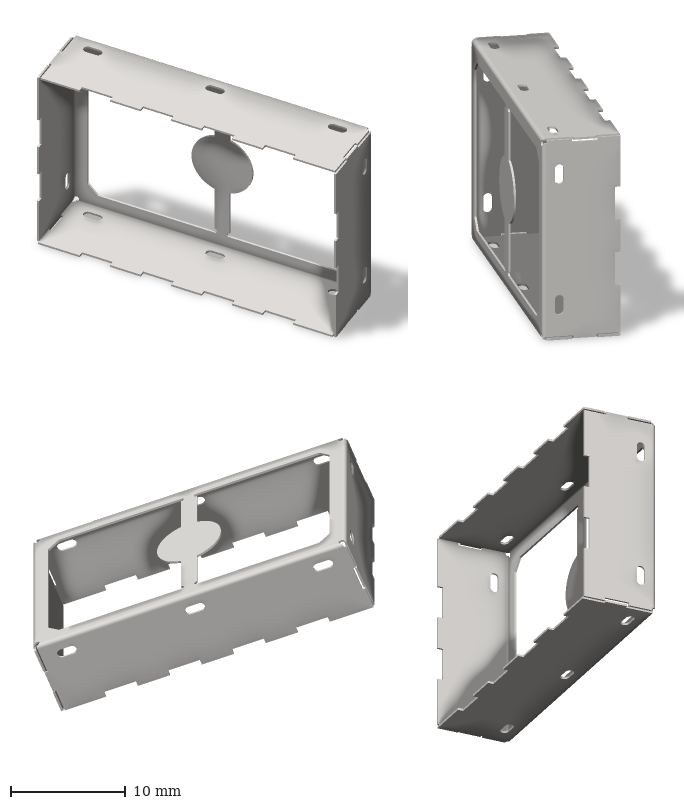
import cadquery as cq

width = 29.35
depth = 7.0
height = 18.5
sheet = 0.2
bend_radius = 0.35
fold_y = depth - bend_radius

rim_width = 1.5
window_chamfer = 1.0
bar_width = 1.5
disc_radius = 3.0
nick_height = 0.4
nick_depth = 0.25
corner_relief_radius = 0.25
corner_relief_inset = 0.4

notch_width = 3.0
notch_pitch = 2 * notch_width
notch_depth = 0.5

slot_length = 1.8
slot_width = 0.8
slot_pitch = 12.0
slot_y = depth - 1.5

wall_margin = bend_radius
tab_margin = 0.1
tab_start = fold_y - 0.03
tab_corner_radius = 0.2
tab_y = depth - 3.82
middle_tab_width = 2.05
recess_width = 2.32


def evenly_spaced(count, pitch):
    return [(i - (count - 1) / 2) * pitch for i in range(count)]


def box_between(low, high):
    size = [b - a for a, b in zip(low, high)]
    return cq.Workplane("XY").box(*size, centered=False).translate(low)


def fold_profile_solid(inset, radius, front_y):
    """Block with its back edges rounded, inset from the outer faces."""
    block = box_between(
        (inset - width / 2, front_y, inset - height / 2),
        (width / 2 - inset, depth - inset, height / 2 - inset),
    )
    return block.faces(">Y").edges().fillet(radius)


def make_back():
    """Back plate with its four folds, relieved at the corners."""
    shell = fold_profile_solid(0, bend_radius, 0).cut(
        fold_profile_solid(sheet, bend_radius - sheet, -sheet)
    )
    back = shell.intersect(
        box_between((-width, fold_y, -height), (width, depth, height))
    )
    for side_x in (-1, 1):
        for side_z in (-1, 1):
            square = (
                cq.Workplane("XZ")
                .center(side_x * width / 2, side_z * height / 2)
                .rect(2 * wall_margin, 2 * wall_margin)
                .extrude(-2 * depth)
            )
            relief = (
                cq.Workplane("XZ")
                .center(
                    side_x * (width / 2 - corner_relief_inset),
                    side_z * (height / 2 - corner_relief_inset),
                )
                .circle(corner_relief_radius)
                .extrude(-2 * depth)
            )
            back = back.cut(square).cut(relief)
    return back


def make_window():
    """Chamfered window, less the bar and disc that stay in it."""
    window_width = width - 2 * rim_width
    window_height = height - 2 * rim_width
    window = (
        cq.Workplane("XZ")
        .rect(window_width, window_height)
        .extrude(-2 * depth)
        .edges("|Y")
        .chamfer(window_chamfer)
    )
    bar = cq.Workplane("XZ").rect(bar_width, height).extrude(-2 * depth)
    disc = cq.Workplane("XZ").circle(disc_radius).extrude(-2 * depth)
    nick_points = [
        (side_x * bar_width / 2, side_z * (window_height - nick_height) / 2)
        for side_x in (-1, 1)
        for side_z in (-1, 1)
    ]
    nicks = (
        cq.Workplane("XZ")
        .pushPoints(nick_points)
        .slot2D(2 * nick_depth, nick_height)
        .extrude(-2 * depth)
    )
    return window.cut(bar).cut(disc).union(nicks)


def make_wall(length, offset, slot_count, notch_count):
    """Wall lying at +Z: outer tabs at its +X end, one middle tab at its -X end."""
    bottom = offset - sheet
    body_end = length / 2 - wall_margin
    tab_end = length / 2 - tab_margin

    wall = box_between((-body_end, 0, bottom), (body_end, fold_y, offset))
    middle_tab = box_between(
        (-tab_end, tab_y - middle_tab_width / 2, bottom),
        (0, tab_y + middle_tab_width / 2, offset),
    )
    front_tab = box_between((0, 0, bottom), (tab_end, tab_y - recess_width / 2, offset))
    rear_tab = (
        box_between((0, tab_y + recess_width / 2, bottom), (tab_end, tab_start, offset))
        .edges("|Z and >X and >Y")
        .fillet(tab_corner_radius)
    )
    wall = wall.union(middle_tab).union(front_tab).union(rear_tab)

    for x in evenly_spaced(notch_count, notch_pitch):
        notch = box_between(
            (x - notch_width / 2, -notch_depth, bottom - sheet),
            (x + notch_width / 2, notch_depth, offset + sheet),
        )
        wall = wall.cut(notch)
    slots = (
        cq.Workplane("XY", origin=(0, 0, bottom))
        .pushPoints([(x, slot_y) for x in evenly_spaced(slot_count, slot_pitch)])
        .slot2D(slot_length, slot_width)
        .extrude(sheet)
    )
    return wall.cut(slots)


long_wall = make_wall(width, height / 2, 3, 4)
short_wall = make_wall(height, width / 2, 2, 2)

result = make_back().cut(make_window())
for turn, wall in ((0, long_wall), (90, short_wall), (180, long_wall), (270, short_wall)):
    result = result.union(wall.rotate((0, 0, 0), (0, 1, 0), turn))